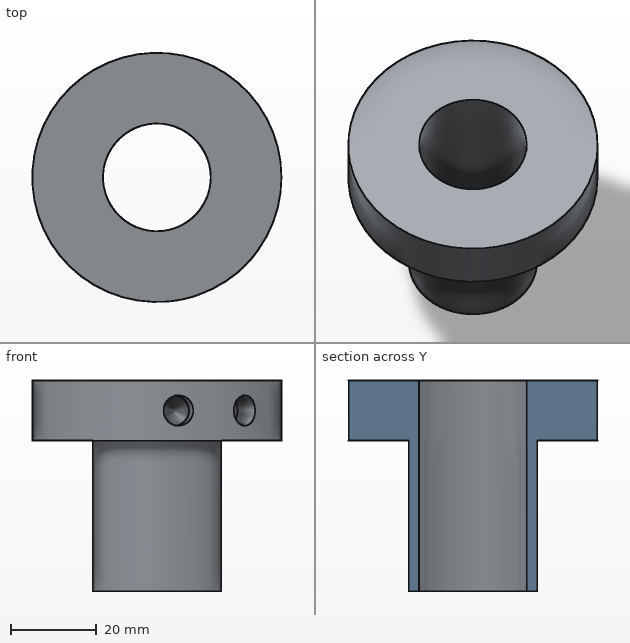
import cadquery as cq
import math

flange_diameter = 58.0
flange_thickness = 14.0
tube_diameter = 30.0
tube_length = 35.05
bore_diameter = 25.0

hole_diameter = 7.0
hole_depth = 6.0
drill_point_angle = 118.0
hole_angles = [-80.0, -45.0]

total_height = tube_length + flange_thickness
hole_height = tube_length + flange_thickness / 2
flange_radius = flange_diameter / 2
hole_radius = hole_diameter / 2
drill_tip_length = hole_radius / math.tan(math.radians(drill_point_angle / 2))


def make_flanged_tube():
    """Tube with a wide flange at its top and a plain bore right through."""
    tube = cq.Workplane("XY").circle(tube_diameter / 2).extrude(tube_length)
    flange = (
        cq.Workplane("XY", origin=(0, 0, tube_length))
        .circle(flange_radius)
        .extrude(flange_thickness)
    )
    bore = cq.Workplane("XY").circle(bore_diameter / 2).extrude(total_height)
    return tube.union(flange).cut(bore)


def make_radial_drill(angle):
    """Drill shape with a conical tip, pointing from outside the rim towards the axis."""
    floor_radius = flange_radius - hole_depth
    entry_radius = flange_radius + hole_radius
    profile = [
        (floor_radius - drill_tip_length, 0),
        (floor_radius, hole_radius),
        (entry_radius, hole_radius),
        (entry_radius, 0),
    ]
    return (
        cq.Workplane("XZ")
        .polyline(profile)
        .close()
        .revolve(360, (0, 0, 0), (1, 0, 0))
        .rotate((0, 0, 0), (0, 0, 1), angle)
        .translate((0, 0, hole_height))
    )


def make_bushing():
    """Flanged tube with blind holes drilled into the flange rim."""
    body = make_flanged_tube()
    for angle in hole_angles:
        body = body.cut(make_radial_drill(angle))
    return body


bushing = make_bushing()

result = cq.Compound.makeCompound(bushing.solids().vals())